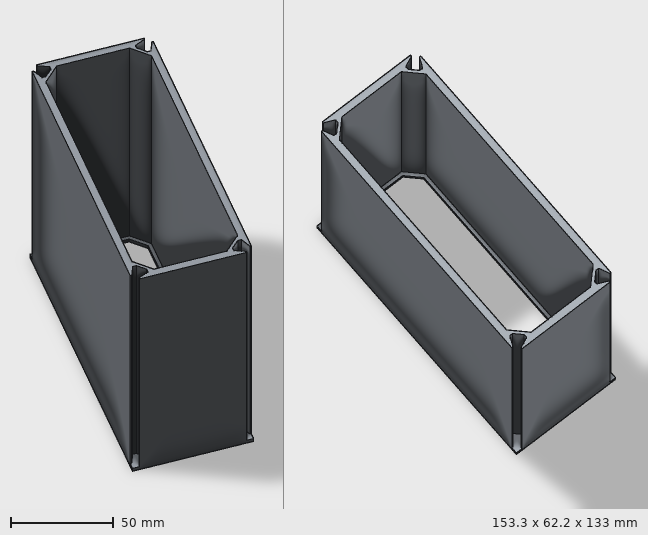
import cadquery as cq
import math

length = 153.3
width = 62.2
height = 133.0

wall = 4.0
ledge = 2.0
base_thickness = 2.0
cavity_chamfer = 8.5

groove_mouth = 3.5
groove_lip = 0.8
groove_reach = 9.0
flank_end = 3.2
tip_end = 5.0


def chamfered_prism(inset, chamfer, bottom, top):
    """Rectangular prism inset from the outside, with chamfered vertical edges."""
    return (
        cq.Workplane("XY", origin=(0, 0, bottom))
        .rect(length - 2 * inset, width - 2 * inset)
        .extrude(top - bottom)
        .edges("|Z")
        .chamfer(chamfer)
    )


def corner_groove(side_x, side_y):
    """Groove symmetric about the corner diagonal, running from the base to the top."""
    profile = [
        (0, 0),
        (groove_mouth, 0),
        (groove_mouth, groove_lip),
        (groove_reach, flank_end),
        (groove_reach, tip_end),
        (tip_end, groove_reach),
        (flank_end, groove_reach),
        (groove_lip, groove_mouth),
        (0, groove_mouth),
    ]
    points = [(side_x * (length / 2 - x), side_y * (width / 2 - y)) for x, y in profile]
    return (
        cq.Workplane("XY", origin=(0, 0, base_thickness))
        .polyline(points)
        .close()
        .extrude(height - base_thickness)
    )


result = cq.Workplane("XY").box(length, width, height, centered=(True, True, False))

result = result.cut(chamfered_prism(wall, cavity_chamfer, base_thickness, height))

opening_chamfer = cavity_chamfer - ledge * (2 - math.sqrt(2))
result = result.cut(chamfered_prism(wall + ledge, opening_chamfer, 0, base_thickness))

for side_x in (-1, 1):
    for side_y in (-1, 1):
        result = result.cut(corner_groove(side_x, side_y))